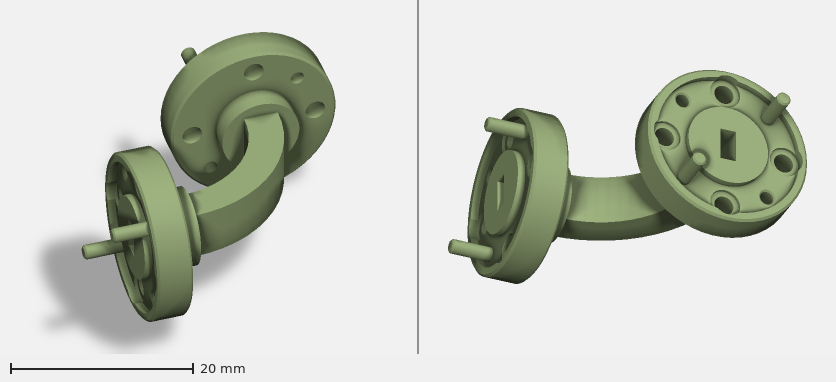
import cadquery as cq

overall_length = 32.45
bend_angle = 90

flange_diameter = 19.05
flange_thickness = 4.12
flange_edge_chamfer = 0.25

hub_diameter = 8.9
hub_length = 2.5

recess_outer_diameter = 17.0
boss_diameter = 9.5
recess_depth = 0.88

pitch_circle_diameter = 14.25
screw_hole_diameter = 2.27
screw_counterbore_diameter = 3.57
screw_counterbore_depth = 1.23
dowel_hole_diameter = 1.55
dowel_hole_chamfer = 0.2

pin_diameter = 1.62
pin_projection = 3.9
pin_chamfer = 0.2

channel_width = 1.88
channel_height = 3.75
wall_thickness = 1.0

tube_width = channel_width + 2 * wall_thickness
tube_height = channel_height + 2 * wall_thickness
port_depth = hub_length + flange_thickness
bend_radius = overall_length - pin_projection - port_depth - flange_diameter / 2
pitch_radius = pitch_circle_diameter / 2
recess_floor = port_depth - recess_depth

screw_angles = [0, 90, 180, 270]
open_dowel_angles = [135, 315]
pin_angles = [45, 225]

minus_y_port = cq.Plane(origin=(bend_radius, 0, 0), xDir=(1, 0, 0), normal=(0, -1, 0))
minus_x_port = cq.Plane(origin=(0, bend_radius, 0), xDir=(0, -1, 0), normal=(-1, 0, 0))
ports = [minus_y_port, minus_x_port]


def cylinder(diameter, bottom, top):
    """Cylinder on the local Z axis between two heights."""
    return cq.Workplane("XY").workplane(offset=bottom).circle(diameter / 2).extrude(top - bottom)


def on_pitch_circle(shape, angle):
    """Move a shape from the local Z axis to an angle on the pitch circle."""
    return shape.translate((pitch_radius, 0, 0)).rotate((0, 0, 0), (0, 0, 1), angle)


def at_port(shape, port):
    """Place a locally built shape at a port."""
    return cq.Workplane(shape.val().moved(port.location))


def make_screw_hole():
    hole = cylinder(screw_hole_diameter, hub_length, port_depth)
    counterbore = cylinder(screw_counterbore_diameter, port_depth - screw_counterbore_depth, port_depth)
    return hole.union(counterbore)


def make_open_dowel_hole():
    hole = cylinder(dowel_hole_diameter, hub_length, recess_floor)
    mouth = (
        cq.Workplane("XY").workplane(offset=recess_floor)
        .circle(dowel_hole_diameter / 2 + dowel_hole_chamfer)
        .workplane(offset=-dowel_hole_chamfer)
        .circle(dowel_hole_diameter / 2)
        .loft()
    )
    return hole.union(mouth)


def make_flange():
    """Flange and hub, with the hub starting at local Z = 0 and the mating face on top."""
    disc = cylinder(flange_diameter, hub_length, port_depth).edges().chamfer(flange_edge_chamfer)
    flange = disc.union(cylinder(hub_diameter, 0, hub_length))

    recess = cylinder(recess_outer_diameter, recess_floor, port_depth)
    flange = flange.cut(recess.cut(cylinder(boss_diameter, recess_floor, port_depth)))

    for angle in screw_angles:
        flange = flange.cut(on_pitch_circle(make_screw_hole(), angle))
    for angle in open_dowel_angles:
        flange = flange.cut(on_pitch_circle(make_open_dowel_hole(), angle))
    for angle in pin_angles:
        pin_seat = cylinder(pin_diameter, hub_length, port_depth)
        flange = flange.cut(on_pitch_circle(pin_seat, angle))

    channel = cq.Workplane("XY").rect(channel_width, channel_height).extrude(port_depth)
    return flange.cut(channel)


def make_bend(width, height):
    """Quarter-circle bar of rectangular section, joining the two ports."""
    return (
        cq.Workplane("XZ")
        .center(bend_radius, 0)
        .rect(width, height)
        .revolve(bend_angle, (-bend_radius, 0), (-bend_radius, 1))
    )


def make_waveguide():
    """Bend with its two flanges, as one body; the channel stops at the ends of the solid bend."""
    waveguide = make_bend(tube_width, tube_height)
    for port in ports:
        waveguide = waveguide.union(at_port(make_flange(), port))
    return waveguide


def make_dowel_pin():
    """Pin from the back of the flange disc to beyond the mating face."""
    return (
        cylinder(pin_diameter, hub_length, port_depth + pin_projection)
        .faces(">Z").edges().chamfer(pin_chamfer)
    )


waveguide = make_waveguide()
dowel_pins = []
for port in ports:
    for angle in pin_angles:
        dowel_pins.append(at_port(on_pitch_circle(make_dowel_pin(), angle), port).val())

result = cq.Compound.makeCompound([waveguide.val(), *dowel_pins])